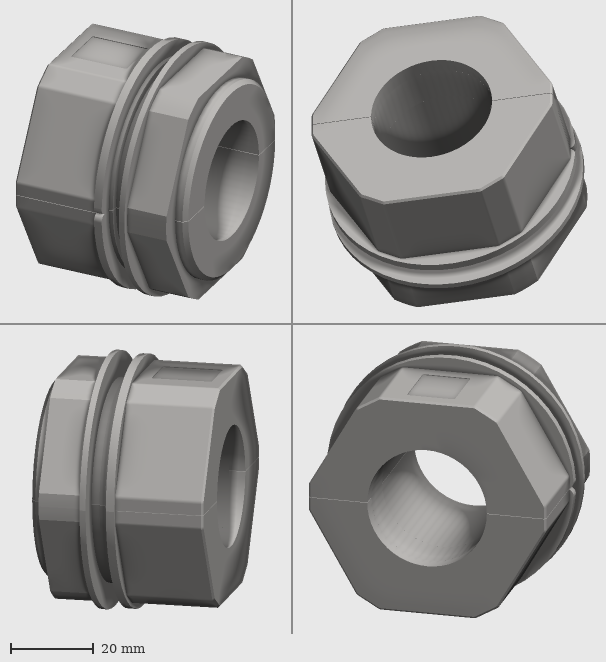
import cadquery as cq
import math


head_end = 21.85
gasket_end = 23.95
collar_end = 25.0
shoulder_end = 25.4
relief_end = 26.9
nut_start = 28.85
flange_thickness = 1.5
nut_end = 40.9
body_length = 43.9

half_flats = 27.45
half_corners = 29.8
head_edge_radius = 1.6
head_chamfer = 0.5
collar_radius = 27.0
shoulder_radius = 25.2
thread_radius = 25.0
thread_chamfer = 1.1
bore_radius = 15.0
split_gap = 0.1

label_length = 15.0
label_width = 12.0
label_center_x = 10.95
label_corner_radius = 0.4
label_depth = 0.2

seal_start = 4.05
seal_end = 14.0
seal_radius = 18.9

gasket_radius = 31.0
gasket_lip_radius = 1.8

flange_radius = 31.5
nut_corner_radius = 30.0

block_size = 4 * flange_radius


def cylinder(start, end, radius):
    return cq.Workplane("YZ").workplane(offset=start).circle(radius).extrude(end - start)


def hexagon(start, end, apothem):
    """Hexagonal prism along X with two flats facing up and down."""
    corner_diameter = 2 * apothem / math.cos(math.pi / 6)
    return cq.Workplane("YZ").workplane(offset=start).polygon(6, corner_diameter).extrude(end - start)


def half_space(side, clearance):
    """Block above (side = 1) or below (side = -1) the split plane z = 0."""
    center_z = side * (block_size / 2 + clearance)
    return cq.Workplane("XY").box(block_size, block_size, block_size).translate((0, 0, center_z))


def make_head():
    corner_turn = 30
    corner_cut = hexagon(0, head_end, half_corners).rotate((0, 0, 0), (1, 0, 0), corner_turn)
    head = hexagon(0, head_end, half_flats).intersect(corner_cut)
    head = head.edges("|X").fillet(head_edge_radius)
    head = head.faces("<X").chamfer(head_chamfer)
    label = (
        cq.Workplane("XY")
        .box(label_length, label_width, 2 * label_depth)
        .edges("|Z").fillet(label_corner_radius)
        .translate((label_center_x, 0, half_flats))
    )
    return head.cut(label)


def make_shank():
    """Turned length from the gasket seat to the chamfered thread end."""
    profile = [
        (head_end, 0),
        (head_end, thread_radius),
        (gasket_end, thread_radius),
        (gasket_end, collar_radius),
        (collar_end, collar_radius),
        (collar_end, shoulder_radius),
        (shoulder_end, shoulder_radius),
        (relief_end, thread_radius),
        (body_length - thread_chamfer, thread_radius),
        (body_length, thread_radius - thread_chamfer),
        (body_length, 0),
    ]
    return cq.Workplane("XY").polyline(profile).close().revolve(360, (0, 0, 0), (1, 0, 0))


def make_housing_half(side):
    housing = make_head().union(make_shank())
    housing = housing.cut(cylinder(0, body_length, bore_radius))
    housing = housing.cut(cylinder(seal_start, seal_end, seal_radius))
    return housing.intersect(half_space(side, split_gap / 2))


def make_seal():
    return cylinder(seal_start, seal_end, seal_radius).cut(cylinder(seal_start, seal_end, bore_radius))


def make_gasket():
    """Ring with a cusped notch on its -Y side, between two rounded ends."""
    ring = cylinder(head_end, gasket_end, gasket_radius).cut(cylinder(head_end, gasket_end, thread_radius))
    center_distance = gasket_radius - gasket_lip_radius
    contact_angle = math.asin(gasket_lip_radius / center_distance)
    cusp_y = -center_distance * math.cos(contact_angle)
    contact_y = -gasket_radius * math.cos(contact_angle)
    contact_z = gasket_radius * math.sin(contact_angle)
    middle_angle = (contact_angle - math.pi / 2) / 2
    middle_y = cusp_y - gasket_lip_radius * math.cos(middle_angle)
    middle_z = gasket_lip_radius + gasket_lip_radius * math.sin(middle_angle)
    notch = (
        cq.Workplane("YZ").workplane(offset=head_end)
        .moveTo(cusp_y, 0)
        .threePointArc((middle_y, middle_z), (contact_y, contact_z))
        .lineTo(-flange_radius, contact_z)
        .lineTo(-flange_radius, -contact_z)
        .lineTo(contact_y, -contact_z)
        .threePointArc((middle_y, -middle_z), (cusp_y, 0))
        .close()
        .extrude(gasket_end - head_end)
    )
    return ring.cut(notch)


def make_nut_half(side):
    flange_end = nut_start + flange_thickness
    nut = hexagon(flange_end, nut_end, half_flats)
    nut = nut.intersect(cylinder(flange_end, nut_end, nut_corner_radius))
    nut = nut.union(cylinder(nut_start, flange_end, flange_radius))
    nut = nut.cut(cylinder(nut_start, nut_end, thread_radius))
    return nut.intersect(half_space(side, 0))


housing_halves = [make_housing_half(side) for side in (1, -1)]
seal = make_seal()
gasket = make_gasket()
nut_halves = [make_nut_half(side) for side in (1, -1)]

result = cq.Compound.makeCompound([
    *[half.val() for half in housing_halves],
    seal.val(),
    gasket.val(),
    *[half.val() for half in nut_halves],
])